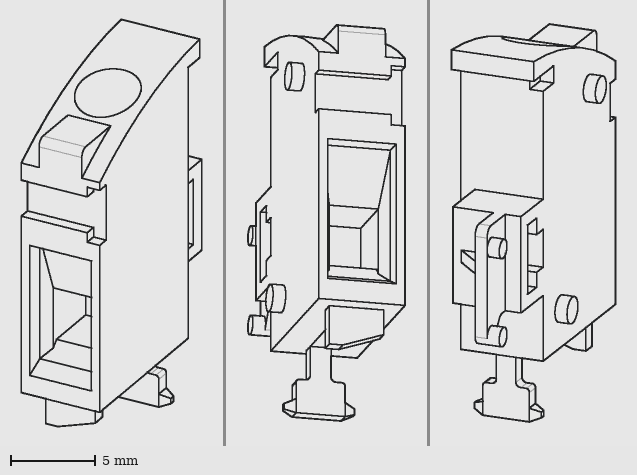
import cadquery as cq
import math


HOUSING_WIDTH = 5.31
HOUSING_DEPTH = 10.93
LEFT = -HOUSING_WIDTH / 2
RIGHT = HOUSING_WIDTH / 2
ROOF_TOP = 19.33
ROOF_FRONT_HEIGHT = 15.33
ROOF_RADIUS = 26.33
ROOF_OVERHANG = 1.4
ROOF_BACK = HOUSING_DEPTH + ROOF_OVERHANG
OVERHANG_UNDERSIDE = 18.08

TAB_WIDTH = 2.9
TAB_TOP = 17.2
TAB_DEPTH = 4.7
TAB_ROUNDING = 0.5

SLOT_BOTTOM = 11.78
SLOT_TOP = 14.18
SLOT_DEPTH = 0.78
SLOT_STEP = 0.63
SLOT_STEP_X = 1.8

RECESS_LENGTH = 1.6
RECESS_BOTTOM = 17.0
RECESS_DEPTH = 0.87

SCREW_HOLE_RADIUS = 1.97
SCREW_HOLE_Y = 5.85
SCREW_HOLE_FLOOR = 15.3

MOUTH_HALF_WIDTH = 2.1
MOUTH_BOTTOM = 1.3
MOUTH_TOP = 9.97
MOUTH_DEPTH = 1.27
MOUTH_FLOOR_END_Z = 1.83
CHANNEL_HALF_WIDTH = 1.5
CHANNEL_BOTTOM = 2.82
CHANNEL_TOP = 6.45
FUNNEL_END_Y = 1.85
FUNNEL_FLOOR_END_Y = MOUTH_DEPTH + CHANNEL_BOTTOM - MOUTH_FLOOR_END_Z
CHANNEL_END_Y = SCREW_HOLE_Y

PEG_RADIUS = 0.82
PEG_LENGTH = 0.78
PEG_CENTRES = [(4.05, 14.95), (8.32, 2.47)]

BLOCK_RIGHT = 1.75
BLOCK_BACK = 14.27
BLOCK_BOTTOM = 4.14
BLOCK_TOP = 10.2
WINDOW_WIDE_FRONT = 11.92
WINDOW_BACK = 13.24
WINDOW_WIDE_BOTTOM = 4.98
WINDOW_WIDE_TOP = 9.33
WINDOW_NARROW_BOTTOM = 5.92
WINDOW_NARROW_TOP = 8.3

ARM_LEFT = -1.65
ARM_THICKNESS = 0.78
ARM_RIGHT = ARM_LEFT + ARM_THICKNESS
ARM_BACK = 17.0
ARM_ROUNDING = 0.59
ARM_SLOPE_START_Y = 15.0
ARM_SLOPE_ROUNDING = 0.59
ARM_PIN_RADIUS = 0.59
ARM_PIN_LENGTH = 0.78
ARM_PIN_Y = ARM_BACK - ARM_PIN_RADIUS
LOWER_PIN_Z = 3.3
UPPER_PIN_Z = 8.85
GUSSET_WIDTH = 2.07
GUSSET_LENGTH = 2.0
GUSSET_THICKNESS = ARM_THICKNESS

METAL_THICKNESS = 0.95
FRONT_LEG_Y = 1.22
FRONT_LEG_HALF_WIDTH = 1.67
FRONT_LEG_LENGTH = 2.37
FRONT_LEG_SHORT_SIDE = 1.53
FRONT_LEG_SLOPE_X = -0.85
REAR_LEG_Y = 9.38
REAR_LEG_HALF_WIDTH = 1.5
REAR_LEG_LENGTH = 4.18
NECK_HALF_WIDTH = 0.63
NECK_LENGTH = 2.1
NECK_ROUNDING = 0.3
SHOULDER_ROUNDING = 0.2
BARB_REACH = 0.65
BARB_HEIGHT = 0.87
BARB_TIP_SIZE = 0.35


def box(x0, x1, y0, y1, z0, z1):
    """Block between two opposite corners."""
    return cq.Workplane("XY").box(x1 - x0, y1 - y0, z1 - z0, centered=False).translate((x0, y0, z0))


def along_x(x0):
    """Plane at x0 with local axes Y and Z, so that extruding runs toward +X."""
    return cq.Workplane("YZ", origin=(x0, 0, 0))


def main_block():
    return (
        along_x(LEFT)
        .lineTo(0, ROOF_FRONT_HEIGHT)
        .radiusArc((ROOF_BACK, ROOF_TOP), ROOF_RADIUS)
        .lineTo(ROOF_BACK, OVERHANG_UNDERSIDE)
        .lineTo(HOUSING_DEPTH, OVERHANG_UNDERSIDE)
        .lineTo(HOUSING_DEPTH, 0)
        .close()
        .extrude(HOUSING_WIDTH)
    )


def marker_tab():
    tab = box(-TAB_WIDTH / 2, TAB_WIDTH / 2, 0, TAB_DEPTH, SLOT_TOP, TAB_TOP)
    return tab.edges("<Y and >Z").fillet(TAB_ROUNDING)


def front_slot():
    slot = box(LEFT, RIGHT, 0, SLOT_DEPTH, SLOT_BOTTOM, SLOT_TOP)
    tall_end = box(SLOT_STEP_X, RIGHT, 0, SLOT_DEPTH, SLOT_BOTTOM - SLOT_STEP, SLOT_TOP + SLOT_STEP)
    return slot.union(tall_end)


def side_recess():
    return box(
        LEFT, LEFT + RECESS_DEPTH,
        HOUSING_DEPTH - RECESS_LENGTH, HOUSING_DEPTH,
        RECESS_BOTTOM, OVERHANG_UNDERSIDE,
    )


def screw_hole():
    return (
        cq.Workplane("XY", origin=(0, SCREW_HOLE_Y, SCREW_HOLE_FLOOR))
        .circle(SCREW_HOLE_RADIUS)
        .extrude(ROOF_TOP - SCREW_HOLE_FLOOR)
    )


def wire_entry():
    """Space that fits both the side outline and the plan outline of the entry."""
    side_outline = (
        along_x(LEFT)
        .moveTo(0, MOUTH_BOTTOM)
        .lineTo(MOUTH_DEPTH, MOUTH_FLOOR_END_Z)
        .lineTo(FUNNEL_FLOOR_END_Y, CHANNEL_BOTTOM)
        .lineTo(CHANNEL_END_Y, CHANNEL_BOTTOM)
        .lineTo(CHANNEL_END_Y, CHANNEL_TOP)
        .lineTo(FUNNEL_END_Y, CHANNEL_TOP)
        .lineTo(MOUTH_DEPTH, MOUTH_TOP)
        .lineTo(0, MOUTH_TOP)
        .close()
        .extrude(HOUSING_WIDTH)
    )
    plan_outline = (
        cq.Workplane("XY")
        .moveTo(0, 0)
        .lineTo(MOUTH_HALF_WIDTH, 0)
        .lineTo(MOUTH_HALF_WIDTH, MOUTH_DEPTH)
        .lineTo(CHANNEL_HALF_WIDTH, FUNNEL_END_Y)
        .lineTo(CHANNEL_HALF_WIDTH, CHANNEL_END_Y)
        .lineTo(0, CHANNEL_END_Y)
        .mirrorY()
        .extrude(MOUTH_TOP)
    )
    return side_outline.intersect(plan_outline)


def side_pegs():
    return along_x(LEFT).pushPoints(PEG_CENTRES).circle(PEG_RADIUS).extrude(-PEG_LENGTH)


def rear_block():
    block = box(LEFT, BLOCK_RIGHT, HOUSING_DEPTH, BLOCK_BACK, BLOCK_BOTTOM, BLOCK_TOP)
    wide_window = box(
        LEFT, BLOCK_RIGHT, WINDOW_WIDE_FRONT, WINDOW_BACK, WINDOW_WIDE_BOTTOM, WINDOW_WIDE_TOP
    )
    narrow_window = box(
        LEFT, BLOCK_RIGHT, HOUSING_DEPTH, WINDOW_WIDE_FRONT, WINDOW_NARROW_BOTTOM, WINDOW_NARROW_TOP
    )
    return block.cut(wide_window).cut(narrow_window)


def arm():
    """Flat arm whose lower corner is rounded around the lower pin."""
    rise = BLOCK_BOTTOM - LOWER_PIN_Z
    run = ARM_PIN_Y - ARM_SLOPE_START_Y
    tangent_angle = math.atan2(rise, -run) + math.acos(ARM_PIN_RADIUS / math.hypot(run, rise))
    mid_angle = tangent_angle / 2 - math.pi

    def rounding_point(angle):
        return (
            ARM_PIN_Y + ARM_PIN_RADIUS * math.cos(angle),
            LOWER_PIN_Z + ARM_PIN_RADIUS * math.sin(angle),
        )

    plate = (
        along_x(ARM_LEFT)
        .moveTo(BLOCK_BACK, BLOCK_TOP)
        .lineTo(ARM_BACK, BLOCK_TOP)
        .lineTo(ARM_BACK, LOWER_PIN_Z)
        .threePointArc(rounding_point(mid_angle), rounding_point(tangent_angle))
        .lineTo(ARM_SLOPE_START_Y, BLOCK_BOTTOM)
        .lineTo(BLOCK_BACK, BLOCK_BOTTOM)
        .close()
        .extrude(ARM_THICKNESS)
    )
    plate = plate.edges("|X and >Y and >Z").fillet(ARM_ROUNDING)
    slope_corner = cq.selectors.NearestToPointSelector(
        ((ARM_LEFT + ARM_RIGHT) / 2, ARM_SLOPE_START_Y, BLOCK_BOTTOM)
    )
    return plate.edges("|X").edges(slope_corner).fillet(ARM_SLOPE_ROUNDING)


def arm_pins():
    return (
        along_x(ARM_LEFT)
        .pushPoints([(ARM_PIN_Y, LOWER_PIN_Z), (ARM_PIN_Y, UPPER_PIN_Z)])
        .circle(ARM_PIN_RADIUS)
        .extrude(-ARM_PIN_LENGTH)
    )


def gusset():
    """Horizontal triangular web between the arm and the rear block, at mid height."""
    middle = (BLOCK_BOTTOM + BLOCK_TOP) / 2
    return (
        cq.Workplane("XY", origin=(ARM_RIGHT, BLOCK_BACK, middle - GUSSET_THICKNESS / 2))
        .lineTo(GUSSET_WIDTH, 0)
        .lineTo(0, GUSSET_LENGTH)
        .close()
        .extrude(GUSSET_THICKNESS)
    )


def contact_bridge():
    return box(
        -NECK_HALF_WIDTH, NECK_HALF_WIDTH,
        FRONT_LEG_Y, REAR_LEG_Y + METAL_THICKNESS,
        0, METAL_THICKNESS,
    )


def front_leg():
    """Leg with a slanted lower end."""
    return (
        cq.Workplane("XZ", origin=(0, FRONT_LEG_Y, 0))
        .moveTo(-FRONT_LEG_HALF_WIDTH, 0)
        .lineTo(-FRONT_LEG_HALF_WIDTH, -FRONT_LEG_LENGTH)
        .lineTo(FRONT_LEG_SLOPE_X, -FRONT_LEG_LENGTH)
        .lineTo(FRONT_LEG_HALF_WIDTH, -FRONT_LEG_SHORT_SIDE)
        .lineTo(FRONT_LEG_HALF_WIDTH, 0)
        .close()
        .extrude(-METAL_THICKNESS)
    )


def barb():
    """Blunt pyramid on the right edge of the rear leg, at its lower end."""
    return (
        cq.Workplane(
            "YZ",
            origin=(
                REAR_LEG_HALF_WIDTH,
                REAR_LEG_Y + METAL_THICKNESS / 2,
                BARB_HEIGHT / 2 - REAR_LEG_LENGTH,
            ),
        )
        .rect(METAL_THICKNESS, BARB_HEIGHT)
        .workplane(offset=BARB_REACH)
        .rect(BARB_TIP_SIZE, BARB_TIP_SIZE)
        .loft(ruled=True)
    )


def rear_leg():
    """Leg with a narrow rounded neck above and a barb on each side below."""
    plate = (
        cq.Workplane("XZ", origin=(0, REAR_LEG_Y, 0))
        .moveTo(0, 0)
        .lineTo(NECK_HALF_WIDTH, 0)
        .lineTo(NECK_HALF_WIDTH, -NECK_LENGTH)
        .lineTo(REAR_LEG_HALF_WIDTH, -NECK_LENGTH)
        .lineTo(REAR_LEG_HALF_WIDTH, -REAR_LEG_LENGTH)
        .lineTo(0, -REAR_LEG_LENGTH)
        .mirrorY()
        .extrude(-METAL_THICKNESS)
    )
    for side in (-1, 1):
        for corner_x, rounding in (
            (NECK_HALF_WIDTH, NECK_ROUNDING),
            (REAR_LEG_HALF_WIDTH, SHOULDER_ROUNDING),
        ):
            corner = (side * corner_x, REAR_LEG_Y + METAL_THICKNESS / 2, -NECK_LENGTH)
            nearest = cq.selectors.NearestToPointSelector(corner)
            plate = plate.edges("|Y").edges(nearest).fillet(rounding)
    right_barb = barb()
    return plate.union(right_barb).union(right_barb.mirror("YZ"))


housing = (
    main_block()
    .union(marker_tab())
    .cut(front_slot())
    .cut(side_recess())
    .cut(screw_hole())
    .cut(wire_entry())
    .cut(contact_bridge())
    .union(side_pegs())
    .union(rear_block())
    .union(arm())
    .union(arm_pins())
    .union(gusset())
)

contact = contact_bridge().union(front_leg()).union(rear_leg())

result = cq.Compound.makeCompound([housing.solids().val(), contact.solids().val()])